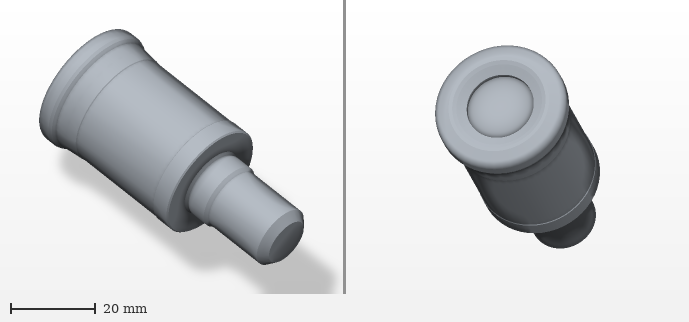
import cadquery as cq


OVERALL_LENGTH = 68.0

RING_OUTER_RADIUS = 16.0
FACE_OUTER_RADIUS = 14.6
FACE_OUTER_X = 0.55
RIM_START_X = 2.2
RIM_ROUND_MID = (1.0, 15.5)
RIM_END_X = 4.6
RIM_BACK_RADIUS = 15.7
RIM_BACK_X = 5.45
RING_BACK_X = 6.25
SEAT_RADIUS = 15.0
CREST_OUTER_RADIUS = 12.25
CREST_INNER_RADIUS = 11.35
MOUTH_RADIUS = 10.4
MOUTH_X = 0.35
BORE_RADIUS = 8.15
FUNNEL_END_X = 1.35
NOSE_X = 2.5

BODY_RADIUS = 28.6 / 2
FLANGE_RADIUS = 29.0 / 2
TAPER_END_X = 12.2
STEP_LENGTH = 0.2
FLANGE_START_X = 38.1
FLANGE_END_X = 42.8
FLANGE_CHAMFER = 0.35

COLLAR_RADIUS = 17.0 / 2
NECK_RADIUS = 8.2
ROOT_RADIUS = 8.8
NECK_X = 43.45
COLLAR_START_X = 44.2
COLLAR_END_X = 48.9
SHANK_RADIUS = 15.8 / 2
SHANK_START_X = 50.0
TIP_CHAMFER = 2.05


def revolve_about_x(profile):
    """Turn a closed half profile, drawn as (x, radius), about the X axis."""
    return profile.close().revolve(360, (0, 0, 0), (1, 0, 0))


def make_cutting_ring():
    profile = (
        cq.Workplane("XY")
        .moveTo(MOUTH_X, MOUTH_RADIUS)
        .lineTo(0, CREST_INNER_RADIUS)
        .lineTo(0, CREST_OUTER_RADIUS)
        .lineTo(FACE_OUTER_X, FACE_OUTER_RADIUS)
        .threePointArc(RIM_ROUND_MID, (RIM_START_X, RING_OUTER_RADIUS))
        .lineTo(RIM_END_X, RING_OUTER_RADIUS)
        .lineTo(RIM_BACK_X, RIM_BACK_RADIUS)
        .lineTo(RING_BACK_X, SEAT_RADIUS)
        .lineTo(RING_BACK_X, BORE_RADIUS)
        .lineTo(FUNNEL_END_X, BORE_RADIUS)
    )
    return revolve_about_x(profile)


def make_holder():
    profile = (
        cq.Workplane("XY")
        .moveTo(NOSE_X, 0)
        .lineTo(NOSE_X, BORE_RADIUS)
        .lineTo(RING_BACK_X, BORE_RADIUS)
        .lineTo(RING_BACK_X, SEAT_RADIUS)
        .lineTo(TAPER_END_X, FLANGE_RADIUS)
        .lineTo(TAPER_END_X + STEP_LENGTH, BODY_RADIUS)
        .lineTo(FLANGE_START_X - STEP_LENGTH, BODY_RADIUS)
        .lineTo(FLANGE_START_X, FLANGE_RADIUS)
        .lineTo(FLANGE_END_X - FLANGE_CHAMFER, FLANGE_RADIUS)
        .lineTo(FLANGE_END_X, FLANGE_RADIUS - FLANGE_CHAMFER)
        .lineTo(FLANGE_END_X, ROOT_RADIUS)
        .lineTo(NECK_X, NECK_RADIUS)
        .lineTo(COLLAR_START_X, COLLAR_RADIUS)
        .lineTo(COLLAR_END_X, COLLAR_RADIUS)
        .lineTo(SHANK_START_X, SHANK_RADIUS)
        .lineTo(OVERALL_LENGTH - TIP_CHAMFER, SHANK_RADIUS)
        .lineTo(OVERALL_LENGTH, SHANK_RADIUS - TIP_CHAMFER)
        .lineTo(OVERALL_LENGTH, 0)
    )
    return revolve_about_x(profile)


cutting_ring = make_cutting_ring()
holder = make_holder()
result = cq.Compound.makeCompound([cutting_ring.val(), holder.val()])